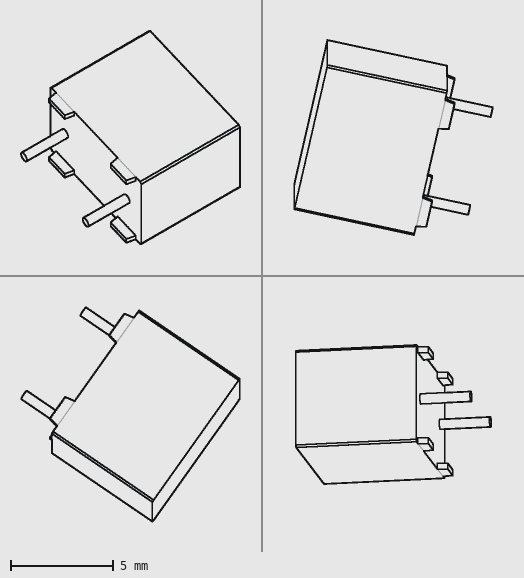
import cadquery as cq

width = 7.5
height = 4.9
total_length = 8.5

pin_diameter = 0.5
pin_length = 2.5
pin_pitch = 5.075
pin_x_positions = (-pin_pitch / 2, pin_pitch / 2)

housing_length = total_length - pin_length
edge_chamfer = 0.1

foot_width = 1.5
foot_tip_width = 1.3
foot_length = 0.5
foot_thickness = 0.3


def make_foot(center_x, bottom_z):
    """Trapezoidal foot projecting from the front face."""
    half_root = foot_width / 2
    half_tip = foot_tip_width / 2
    return (
        cq.Workplane("XY", origin=(center_x, 0, bottom_z))
        .moveTo(-half_root, 0)
        .lineTo(-half_tip, -foot_length)
        .lineTo(half_tip, -foot_length)
        .lineTo(half_root, 0)
        .close()
        .extrude(foot_thickness)
    )


def make_housing():
    """Block with chamfered long edges and a pair of feet above and below, in line with each pin."""
    housing = (
        cq.Workplane("XY")
        .box(width, housing_length, height, centered=(True, False, True))
        .edges("|Y")
        .chamfer(edge_chamfer)
    )
    for center_x in pin_x_positions:
        for bottom_z in (-height / 2, height / 2 - foot_thickness):
            housing = housing.union(make_foot(center_x, bottom_z), clean=False)
    return housing


def make_pin(center_x):
    """Round lead standing on the front face; the XZ plane extrudes towards -Y."""
    return cq.Workplane("XZ", origin=(center_x, 0, 0)).circle(pin_diameter / 2).extrude(pin_length)


housing = make_housing()
pins = [make_pin(center_x) for center_x in pin_x_positions]

result = cq.Compound.makeCompound([housing.val(), *[pin.val() for pin in pins]])